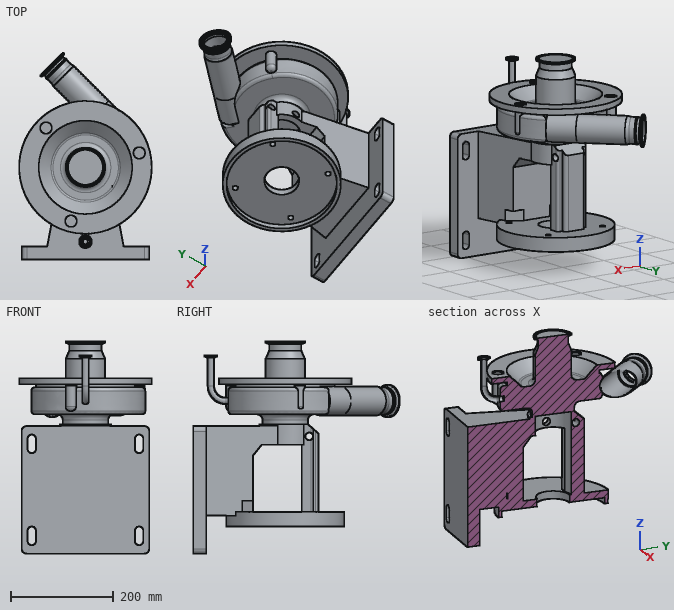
import cadquery as cq
import math


PLATE_SIZE = 250.0
PLATE_THICKNESS = 26.0
PLATE_CORNER_RADIUS = 10.0
PLATE_BACK_Y = -180.4
PLATE_FRONT_Y = PLATE_BACK_Y + PLATE_THICKNESS
SLOT_LENGTH = 36.0
SLOT_WIDTH = 16.0
SLOT_SPACING_X = 210.0
SLOT_SPACING_Z = 180.0

RING_RADIUS = 50.5
RING_BORE_RADIUS = 37.0
RING_BOTTOM_Z = 213.0
RING_TOP_Z = PLATE_SIZE + 3.0
RING_HOLE_DIAMETER = 15.5
RING_HOLE_Z = 225.6

WEB_RING_Y = -15.0
WEB_RING_HALF_WIDTH = math.sqrt(RING_RADIUS**2 - WEB_RING_Y**2)
WEB_PLATE_HALF_WIDTH = 75.0
WEB_INNER_Y = -63.0
WEB_BOTTOM_Z = 74.8
WEB_CORNER_DROP = 21.0
WEB_CORNER_RUN = 17.0
NOTCH_DEPTH_Y = 20.8
NOTCH_DEPTH_X = 30.0
NOTCH_TOP_Z = 103.8

DISK_RADIUS = 115.6
DISK_BOTTOM_Z = 53.0
DISK_TOP_Z = 81.8
DISK_BORE_RADIUS = 34.0
DISK_RECESS_RADIUS = 108.0
DISK_RECESS_DEPTH = 12.4
DISK_HOLE_DIAMETER = 10.5
DISK_HOLE_CIRCLE_RADIUS = 92.5

PILLAR_HALF_WIDTH = 35.5
PILLAR_FRONT_Y = 31.8
PILLAR_SHOULDER_Y = 55.0
PILLAR_BACK_Y = 65.4
PILLAR_EDGE_RADIUS = 5.2
TONGUE_EDGE_RADIUS = 6.4
TONGUE_HALF_WIDTH = 24.0
PILLAR_HOLE_DIAMETER = 14.6
PILLAR_HOLE_Y = 47.0
PILLAR_HOLE_Z = 229.6
SLOPE_TOP_Y = 45.0
SLOPE_BACK_Z = 234.9

NECK_RADIUS = 44.7
NECK_FLARE_Z = 261.7
CASING_BOTTOM_Z = 272.5
CASING_TOP_Z = 326.0
VOLUTE_START_RADIUS = 103.0
VOLUTE_START_ANGLE = 135.0
VOLUTE_SWEEP = 270.0
VOLUTE_GROWTH = 17.4
VOLUTE_STEPS = 18
CASING_EDGE_RADIUS = 7.0
COLLAR_RADIUS = 97.0
FLANGE_RADIUS = 130.0
FLANGE_BOTTOM_Z = 331.5
FLANGE_TOP_Z = 343.7

RECESS_FLOOR_Z = 318.3
RECESS_FLOOR_RADIUS = 64.0
RECESS_TOP_RADIUS = 91.5
RECESS_CORNER_RADIUS = 5.2
INLET_RADIUS = 38.75
INLET_FILLET = 10.5
INLET_CONE_BOTTOM_Z = 381.2
INLET_CONE_TOP_Z = 397.5
INLET_NECK_RADIUS = 31.75
INLET_TOP_Z = 415.5
INLET_FERRULE_RADIUS = 38.75
INLET_GROOVE_RADIUS = 35.3

FERRULE_RIM = 2.85
FERRULE_BACK = 2.6
GROOVE_WIDTH = 2.4
GROOVE_DEPTH = 1.2

BOSS_ANGLES = (15.0, 135.0, 255.0)
BOSS_CIRCLE_RADIUS = 109.0
BOSS_RADIUS = 10.8
BOSS_BOTTOM_Z = 279.0
BOSS_TOP_Z = 328.7
BOSS_FILLET = 9.5
BOSS_RECESS_RADIUS = 11.4
BOSS_RECESS_DEPTH = 2.5

OUTLET_ANGLE = 135.0
OUTLET_OFFSET = 96.0
OUTLET_Z = 298.9
OUTLET_RADIUS = 28.5
OUTLET_FACE = 189.4
OUTLET_FERRULE_RADIUS = 32.0
OUTLET_GROOVE_RADIUS = 28.2
OUTLET_TUBE_RADIUS = 25.9
OUTLET_TUBE_LENGTH = 11.0
OUTLET_BEAD_RADIUS = 27.4
OUTLET_BEAD_WIDTH = 3.0
OUTLET_COLLAR_RADIUS = 26.7
OUTLET_CONE_START = 25.5
OUTLET_CONE_END = 33.0
OUTLET_BORE_RADIUS = 23.9
OUTLET_WIDE_BORE_RADIUS = 26.5
OUTLET_BORE_DEPTH = 130.0

DRAIN_RADIUS = 6.6
DRAIN_BORE_RADIUS = 5.0
DRAIN_Y = -145.5
DRAIN_Z = OUTLET_Z
DRAIN_BEND_RADIUS = 29.3
DRAIN_START_Y = -90.0
DRAIN_BORE_START_Y = -104.0
DRAIN_TOP_Z = 388.7
DRAIN_FERRULE_RADIUS = 12.5
DRAIN_GROOVE_RADIUS = 9.5


def polar(radius, angle):
    """XY point at the given radius and angle in degrees."""
    return radius * math.cos(math.radians(angle)), radius * math.sin(math.radians(angle))


def cylinder(radius, bottom, top, center=(0, 0)):
    return cq.Workplane("XY", origin=(*center, bottom)).circle(radius).extrude(top - bottom)


def ferrule_groove(radius, face):
    """Gasket groove of a ferrule on the Z axis whose face is at Z = face."""
    half = GROOVE_WIDTH / 2
    outer = cylinder(radius + half, face - GROOVE_DEPTH, face)
    return outer.cut(cylinder(radius - half, face - GROOVE_DEPTH, face))


def make_plate():
    plate = (
        cq.Workplane("XZ", origin=(0, PLATE_FRONT_Y, PLATE_SIZE / 2))
        .rect(PLATE_SIZE, PLATE_SIZE)
        .extrude(PLATE_THICKNESS)
        .edges("|Y")
        .fillet(PLATE_CORNER_RADIUS)
    )
    slots = (
        cq.Workplane("XZ", origin=(0, PLATE_FRONT_Y, PLATE_SIZE / 2))
        .rect(SLOT_SPACING_X, SLOT_SPACING_Z, forConstruction=True)
        .vertices()
        .slot2D(SLOT_LENGTH, SLOT_WIDTH, 90)
        .extrude(PLATE_THICKNESS)
    )
    return plate.cut(slots)


def make_web():
    """Web tapering from the plate to the ring, open between the ring and the disk."""
    plan = (
        cq.Workplane("XY", origin=(0, 0, WEB_BOTTOM_Z))
        .moveTo(-WEB_PLATE_HALF_WIDTH, PLATE_FRONT_Y)
        .lineTo(WEB_PLATE_HALF_WIDTH, PLATE_FRONT_Y)
        .lineTo(WEB_RING_HALF_WIDTH, WEB_RING_Y)
        .lineTo(-WEB_RING_HALF_WIDTH, WEB_RING_Y)
        .close()
        .extrude(PLATE_SIZE - WEB_BOTTOM_Z)
    )
    profile = (
        cq.Workplane("YZ", origin=(-WEB_PLATE_HALF_WIDTH, 0, 0))
        .moveTo(PLATE_FRONT_Y, WEB_BOTTOM_Z)
        .lineTo(WEB_INNER_Y, WEB_BOTTOM_Z)
        .lineTo(WEB_INNER_Y, RING_BOTTOM_Z - WEB_CORNER_DROP)
        .lineTo(WEB_INNER_Y + WEB_CORNER_RUN, RING_BOTTOM_Z)
        .lineTo(0, RING_BOTTOM_Z)
        .lineTo(0, PLATE_SIZE)
        .lineTo(PLATE_FRONT_Y, PLATE_SIZE)
        .close()
        .extrude(2 * WEB_PLATE_HALF_WIDTH)
    )
    web = plan.intersect(profile)
    taper = (WEB_PLATE_HALF_WIDTH - WEB_RING_HALF_WIDTH) / (WEB_RING_Y - PLATE_FRONT_Y)
    notch_y = WEB_INNER_Y - NOTCH_DEPTH_Y
    notch_x = WEB_RING_HALF_WIDTH + (WEB_RING_Y - notch_y) * taper
    for side in (-1, 1):
        notch = (
            cq.Workplane("XY", origin=(0, 0, DISK_TOP_Z))
            .moveTo(side * notch_x, notch_y)
            .lineTo(side * (notch_x - NOTCH_DEPTH_X), WEB_INNER_Y)
            .lineTo(side * notch_x, WEB_INNER_Y)
            .close()
            .extrude(NOTCH_TOP_Z - DISK_TOP_Z)
        )
        web = web.cut(notch)
    return web


def make_disk():
    disk = cylinder(DISK_RADIUS, DISK_BOTTOM_Z, DISK_TOP_Z)
    pitch = DISK_HOLE_CIRCLE_RADIUS * math.sqrt(2)
    holes = (
        cq.Workplane("XY", origin=(0, 0, DISK_BOTTOM_Z))
        .rect(pitch, pitch, forConstruction=True)
        .vertices()
        .circle(DISK_HOLE_DIAMETER / 2)
        .extrude(DISK_TOP_Z - DISK_BOTTOM_Z)
    )
    return disk.cut(holes)


def make_pillar():
    """Rear pillar with a narrower rounded tongue at its back."""
    height = RING_TOP_Z - DISK_TOP_Z

    def block(half_width, back_y, edge_radius):
        return (
            cq.Workplane("XY", origin=(0, (PILLAR_FRONT_Y + back_y) / 2, DISK_TOP_Z))
            .rect(2 * half_width, back_y - PILLAR_FRONT_Y)
            .extrude(height)
            .edges("|Z and >Y")
            .fillet(edge_radius)
        )

    wide = block(PILLAR_HALF_WIDTH, PILLAR_SHOULDER_Y, PILLAR_EDGE_RADIUS)
    return wide.union(block(TONGUE_HALF_WIDTH, PILLAR_BACK_Y, TONGUE_EDGE_RADIUS))


def cross_hole(diameter, y, z, start_x, length):
    return cq.Workplane("YZ", origin=(start_x, y, z)).circle(diameter / 2).extrude(length)


def make_bracket():
    ring = cylinder(RING_RADIUS, RING_BOTTOM_Z, RING_TOP_Z)
    bracket = ring.union(make_pillar()).union(make_web())
    bracket = bracket.cut(cylinder(RING_BORE_RADIUS, DISK_TOP_Z, RING_TOP_Z))
    bracket = bracket.union(make_disk()).union(make_plate())
    bracket = bracket.cut(cylinder(DISK_BORE_RADIUS, DISK_BOTTOM_Z, DISK_TOP_Z))
    motor_recess = cylinder(DISK_RECESS_RADIUS, DISK_BOTTOM_Z, DISK_BOTTOM_Z + DISK_RECESS_DEPTH)
    bracket = bracket.cut(motor_recess)

    sloped_top = (
        cq.Workplane("YZ", origin=(-PILLAR_HALF_WIDTH, 0, 0))
        .moveTo(SLOPE_TOP_Y, RING_TOP_Z)
        .lineTo(PILLAR_BACK_Y, SLOPE_BACK_Z)
        .lineTo(PILLAR_BACK_Y, RING_TOP_Z)
        .close()
        .extrude(2 * PILLAR_HALF_WIDTH)
    )
    pillar_hole = cross_hole(
        PILLAR_HOLE_DIAMETER, PILLAR_HOLE_Y, PILLAR_HOLE_Z, -PILLAR_HALF_WIDTH, 2 * PILLAR_HALF_WIDTH
    )
    ring_hole = cross_hole(RING_HOLE_DIAMETER, 0, RING_HOLE_Z, -RING_RADIUS, RING_RADIUS)
    return bracket.cut(sloped_top).cut(pillar_hole).cut(ring_hole)


def make_volute():
    """Spiral casing; the step where the spiral ends lies inside the outlet pipe."""
    end_angle = VOLUTE_START_ANGLE + VOLUTE_SWEEP
    mid_angle = (VOLUTE_START_ANGLE + end_angle - 360) / 2
    spiral_points = []
    for step in range(VOLUTE_STEPS + 1):
        fraction = step / VOLUTE_STEPS
        radius = VOLUTE_START_RADIUS + fraction * VOLUTE_GROWTH
        spiral_points.append(polar(radius, VOLUTE_START_ANGLE + fraction * VOLUTE_SWEEP))
    return (
        cq.Workplane("XY", origin=(0, 0, CASING_BOTTOM_Z))
        .moveTo(*spiral_points[0])
        .spline(spiral_points[1:], includeCurrent=True)
        .lineTo(*polar(VOLUTE_START_RADIUS, end_angle))
        .threePointArc(polar(VOLUTE_START_RADIUS, mid_angle), spiral_points[0])
        .close()
        .extrude(CASING_TOP_Z - CASING_BOTTOM_Z)
        .faces("<Z or >Z")
        .edges()
        .fillet(CASING_EDGE_RADIUS)
    )


def make_casing():
    """Volute with a flared neck below and a collar and flange above."""
    casing = make_volute()
    flare = CASING_BOTTOM_Z - NECK_FLARE_Z
    neck = (
        cq.Workplane("XZ")
        .moveTo(0, RING_TOP_Z)
        .lineTo(NECK_RADIUS, RING_TOP_Z)
        .lineTo(NECK_RADIUS, NECK_FLARE_Z)
        .radiusArc((NECK_RADIUS + flare, CASING_BOTTOM_Z), flare)
        .lineTo(0, CASING_BOTTOM_Z)
        .close()
        .revolve(360, (0, 0, 0), (0, 1, 0))
    )
    collar = cylinder(COLLAR_RADIUS, CASING_BOTTOM_Z + CASING_EDGE_RADIUS, FLANGE_BOTTOM_Z)
    flange = cylinder(FLANGE_RADIUS, FLANGE_BOTTOM_Z, FLANGE_TOP_Z)
    return casing.union(neck).union(collar).union(flange)


def make_boss(angle):
    center = polar(BOSS_CIRCLE_RADIUS, angle)
    boss = cylinder(BOSS_RADIUS, BOSS_BOTTOM_Z, BOSS_TOP_Z, center)
    boss = boss.faces("<Z").edges().fillet(BOSS_FILLET)
    recess = cylinder(BOSS_RECESS_RADIUS, FLANGE_TOP_Z - BOSS_RECESS_DEPTH, FLANGE_TOP_Z, center)
    return boss, recess


def make_recess():
    """Round recess with a 45 degree wall, blended into its flat floor."""
    corner_sine = RECESS_CORNER_RADIUS * math.sin(math.radians(45))
    corner_end_radius = RECESS_FLOOR_RADIUS + corner_sine
    corner_end_z = RECESS_FLOOR_Z + RECESS_CORNER_RADIUS - corner_sine
    return (
        cq.Workplane("XZ")
        .moveTo(0, RECESS_FLOOR_Z)
        .lineTo(RECESS_FLOOR_RADIUS, RECESS_FLOOR_Z)
        .radiusArc((corner_end_radius, corner_end_z), -RECESS_CORNER_RADIUS)
        .lineTo(RECESS_TOP_RADIUS, FLANGE_TOP_Z)
        .lineTo(0, FLANGE_TOP_Z)
        .close()
        .revolve(360, (0, 0, 0), (0, 1, 0))
    )


def make_inlet():
    inlet = (
        cq.Workplane("XZ")
        .moveTo(0, RECESS_FLOOR_Z)
        .lineTo(INLET_RADIUS + INLET_FILLET, RECESS_FLOOR_Z)
        .radiusArc((INLET_RADIUS, RECESS_FLOOR_Z + INLET_FILLET), INLET_FILLET)
        .lineTo(INLET_RADIUS, INLET_CONE_BOTTOM_Z)
        .lineTo(INLET_NECK_RADIUS, INLET_CONE_TOP_Z)
        .lineTo(INLET_NECK_RADIUS, INLET_TOP_Z - FERRULE_RIM - FERRULE_BACK)
        .lineTo(INLET_FERRULE_RADIUS, INLET_TOP_Z - FERRULE_RIM)
        .lineTo(INLET_FERRULE_RADIUS, INLET_TOP_Z)
        .lineTo(0, INLET_TOP_Z)
        .close()
        .revolve(360, (0, 0, 0), (0, 1, 0))
    )
    return inlet.cut(ferrule_groove(INLET_GROOVE_RADIUS, INLET_TOP_Z))


def place_outlet(shape):
    """Move a shape built along +Z, with Z = 0 at the tangent point, onto the outlet axis."""
    lying = shape.rotate((0, 0, 0), (0, 1, 0), 90).rotate((0, 0, 0), (0, 0, 1), OUTLET_ANGLE)
    return lying.translate((*polar(OUTLET_OFFSET, OUTLET_ANGLE - 90), OUTLET_Z))


def make_outlet():
    """Outlet pipe and its bore, both on the outlet axis."""
    face = OUTLET_FACE
    pipe = (
        cq.Workplane("XZ")
        .lineTo(OUTLET_RADIUS, 0)
        .lineTo(OUTLET_RADIUS, face - OUTLET_CONE_END)
        .lineTo(OUTLET_COLLAR_RADIUS, face - OUTLET_CONE_START)
        .lineTo(OUTLET_COLLAR_RADIUS, face - OUTLET_TUBE_LENGTH - OUTLET_BEAD_WIDTH)
        .lineTo(OUTLET_BEAD_RADIUS, face - OUTLET_TUBE_LENGTH - OUTLET_BEAD_WIDTH)
        .lineTo(OUTLET_BEAD_RADIUS, face - OUTLET_TUBE_LENGTH)
        .lineTo(OUTLET_TUBE_RADIUS, face - OUTLET_TUBE_LENGTH)
        .lineTo(OUTLET_TUBE_RADIUS, face - FERRULE_RIM - FERRULE_BACK)
        .lineTo(OUTLET_FERRULE_RADIUS, face - FERRULE_RIM)
        .lineTo(OUTLET_FERRULE_RADIUS, face)
        .lineTo(0, face)
        .close()
        .revolve(360, (0, 0, 0), (0, 1, 0))
        .cut(ferrule_groove(OUTLET_GROOVE_RADIUS, face))
    )
    bore = (
        cq.Workplane("XZ")
        .moveTo(0, face)
        .lineTo(OUTLET_BORE_RADIUS, face)
        .lineTo(OUTLET_BORE_RADIUS, face - OUTLET_CONE_END)
        .lineTo(OUTLET_WIDE_BORE_RADIUS, face - OUTLET_CONE_END)
        .lineTo(OUTLET_WIDE_BORE_RADIUS, face - OUTLET_BORE_DEPTH)
        .lineTo(0, face - OUTLET_BORE_DEPTH)
        .close()
        .revolve(360, (0, 0, 0), (0, 1, 0))
    )
    return place_outlet(pipe), place_outlet(bore)


def drain_run(radius, start_y):
    """Round bar from start_y outwards, round the bend and up to the drain ferrule face."""
    bend_offset = DRAIN_BEND_RADIUS * (1 - math.sin(math.radians(45)))
    bend_middle = (DRAIN_Y + bend_offset, DRAIN_Z + bend_offset)
    path = (
        cq.Workplane("YZ")
        .moveTo(start_y, DRAIN_Z)
        .lineTo(DRAIN_Y + DRAIN_BEND_RADIUS, DRAIN_Z)
        .threePointArc(bend_middle, (DRAIN_Y, DRAIN_Z + DRAIN_BEND_RADIUS))
        .lineTo(DRAIN_Y, DRAIN_TOP_Z)
    )
    return cq.Workplane("XZ", origin=(0, start_y, DRAIN_Z)).circle(radius).sweep(path)


def make_drain_ferrule():
    return (
        cq.Workplane("XZ")
        .moveTo(0, DRAIN_TOP_Z - FERRULE_RIM - FERRULE_BACK)
        .lineTo(DRAIN_RADIUS, DRAIN_TOP_Z - FERRULE_RIM - FERRULE_BACK)
        .lineTo(DRAIN_FERRULE_RADIUS, DRAIN_TOP_Z - FERRULE_RIM)
        .lineTo(DRAIN_FERRULE_RADIUS, DRAIN_TOP_Z)
        .lineTo(0, DRAIN_TOP_Z)
        .close()
        .revolve(360, (0, 0, 0), (0, 1, 0))
        .cut(ferrule_groove(DRAIN_GROOVE_RADIUS, DRAIN_TOP_Z))
        .translate((0, DRAIN_Y, 0))
    )


def make_pump():
    pump = make_casing()
    outlet, outlet_bore = make_outlet()
    pump = pump.union(outlet)
    for angle in BOSS_ANGLES:
        boss, recess = make_boss(angle)
        pump = pump.union(boss).cut(recess)
    pump = pump.cut(make_recess()).union(make_inlet()).cut(outlet_bore)
    pump = pump.union(drain_run(DRAIN_RADIUS, DRAIN_START_Y)).union(make_drain_ferrule())
    return pump.cut(drain_run(DRAIN_BORE_RADIUS, DRAIN_BORE_START_Y))


result = make_bracket().union(make_pump())